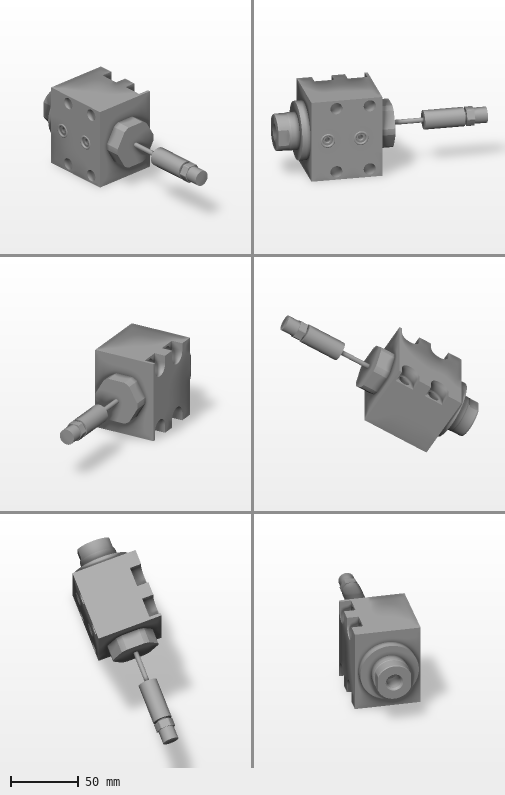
import cadquery as cq
import math


block_start = 22.5
block_length = 54.2
block_depth = 50.3
block_height = 63.5
block_end = block_start + block_length
front_face = -block_depth / 2
back_face = block_depth / 2

collar_start = 16.2
collar_diameter = 44.8
neck_start = 9.9
neck_diameter = 28.6
neck_chamfer_length = 0.8
head_diameter = 28.2
head_chamfer_length = 1.0
head_chamfer_height = 0.3
flat_spacing = 25.2
flat_length = 7.6
flat_runout_length = 1.1

bore_mouth_diameter = 13.5
bore_cone_diameter = 12.3
bore_cone_length = 1.3
bore_diameter = 11.0
bore_depth = 16.2

hole_diameter = 9.0
hole_spacing_x = 25.4
hole_spacing_z = 50.8
hole_first_x = 41.6
recess_width = 15.0
recess_depth = 8.9

port_first_x = 35.1
port_spacing = hole_spacing_x
port_mouth_diameter = 4.5
port_diameter = 3.4
port_depth = 8.1
seal_center_radius = 4.7
seal_section_radius = 1.0
seal_protrusion = 0.5
seal_seat_depth = 1.3

gland_end = 88.5
gland_across_flats = 33.7
gland_corner_diameter = 36.4

cable_diameter = 3.7
sleeve_start = 113.6
sleeve_end = 144.3
sleeve_diameter = 14.5
plug_neck_diameter = 8.7
plug_nut_start = 145.8
plug_nut_end = 151.8
plug_nut_across_flats = 13.1
plug_nut_corner_diameter = 14.7
tip_end = 161.8
tip_diameter = 12.1

overlap = 0.8


def rod(start, end, diameter):
    """Cylinder along the X axis."""
    return cq.Workplane("YZ", origin=(start, 0, 0)).circle(diameter / 2).extrude(end - start)


def hexagon(start, end, across_flats, corner_diameter):
    """Hexagonal bar along X with flats facing +Z and -Z and its corners turned down."""
    across_corners = across_flats / math.cos(math.pi / 6)
    prism = cq.Workplane("YZ", origin=(start, 0, 0)).polygon(6, across_corners).extrude(end - start)
    return prism.intersect(rod(start, end, corner_diameter))


def turned(profile):
    """Revolve an (x, radius) outline about the X axis."""
    return cq.Workplane("XY").polyline(profile).close().revolve(360, (0, 0, 0), (1, 0, 0))


def coupling_end():
    """Collar, neck and chamfered head, with wrench flats on the +Y and -Y sides of the head."""
    head_radius = head_diameter / 2
    neck_radius = neck_diameter / 2
    head_end = neck_start - neck_chamfer_length
    head = turned([
        (0, 0),
        (0, head_radius - head_chamfer_height),
        (head_chamfer_length, head_radius),
        (head_end, head_radius),
        (neck_start, neck_radius),
        (collar_start + overlap, neck_radius),
        (collar_start + overlap, 0),
    ])
    flat_cutter = (
        cq.Workplane("XY")
        .moveTo(0, flat_spacing / 2)
        .lineTo(flat_length, flat_spacing / 2)
        .lineTo(flat_length + flat_runout_length, head_radius)
        .lineTo(0, head_radius)
        .close()
        .extrude(neck_radius, both=True)
    )
    head = head.cut(flat_cutter).cut(flat_cutter.mirror("XZ"))
    collar = rod(collar_start, block_start + overlap, collar_diameter)
    return head.union(collar)


def coupling_bore():
    """Solid that is cut out of the coupling end to form its bore."""
    mouth_radius = bore_mouth_diameter / 2
    bore_radius = bore_diameter / 2
    cone_radius = bore_cone_diameter / 2
    mouth_chamfer = mouth_radius - cone_radius
    return turned([
        (0, 0),
        (0, mouth_radius),
        (mouth_chamfer, cone_radius),
        (mouth_chamfer + bore_cone_length, bore_radius),
        (bore_depth, bore_radius),
        (bore_depth, 0),
    ])


def mounting_hole(x, side):
    """Through hole along Y and its back recess, open to the top (side 1) or bottom (side -1)."""
    z = side * hole_spacing_z / 2
    edge_distance = (block_height - hole_spacing_z) / 2
    back = cq.Workplane("XZ", origin=(x, back_face, z))
    hole = back.circle(hole_diameter / 2).extrude(block_depth)
    round_end = back.circle(recess_width / 2).extrude(recess_depth)
    opening = back.center(0, side * edge_distance / 2).rect(recess_width, edge_distance).extrude(recess_depth)
    return hole.union(round_end).union(opening)


def port_cavity(x):
    """Seal seat and countersunk port hole with a conical bottom."""
    mouth_radius = port_mouth_diameter / 2
    port_radius = port_diameter / 2
    countersink_end = seal_seat_depth + mouth_radius - port_radius
    return (
        cq.Workplane("XY", origin=(x, front_face, 0))
        .polyline([
            (0, 0),
            (seal_center_radius, 0),
            (seal_center_radius, seal_seat_depth),
            (mouth_radius, seal_seat_depth),
            (port_radius, countersink_end),
            (port_radius, port_depth),
            (0, port_depth + port_radius),
        ])
        .close()
        .revolve(360, (0, 0, 0), (0, 1, 0))
    )


def seal_ring(x):
    """Ring of round section that stands slightly proud of the front face."""
    return (
        cq.Workplane("XY", origin=(x, front_face, 0))
        .center(seal_center_radius, seal_section_radius - seal_protrusion)
        .circle(seal_section_radius)
        .revolve(360, (-seal_center_radius, 0, 0), (-seal_center_radius, 1, 0))
    )


def cable_and_plug():
    """Cable leaving the gland nut, ending in a sleeve, a hexagon nut and a plain tip."""
    cable = rod(gland_end - overlap, sleeve_start + overlap, cable_diameter)
    sleeve = rod(sleeve_start, sleeve_end, sleeve_diameter)
    plug_neck = rod(sleeve_end - overlap, plug_nut_start + overlap, plug_neck_diameter)
    nut = hexagon(plug_nut_start, plug_nut_end, plug_nut_across_flats, plug_nut_corner_diameter)
    tip = rod(plug_nut_end - overlap, tip_end, tip_diameter)
    return cable.union(sleeve).union(plug_neck).union(nut).union(tip)


block = cq.Workplane("XY").box(block_length, block_depth, block_height)
block = block.translate((block_start + block_length / 2, 0, 0))

for column in range(2):
    for side in (1, -1):
        block = block.cut(mounting_hole(hole_first_x + column * hole_spacing_x, side))

for index in range(2):
    port_x = port_first_x + index * port_spacing
    block = block.cut(port_cavity(port_x)).union(seal_ring(port_x))

gland = hexagon(block_end - overlap, gland_end, gland_across_flats, gland_corner_diameter)
result = block.union(coupling_end()).union(gland).union(cable_and_plug()).cut(coupling_bore())